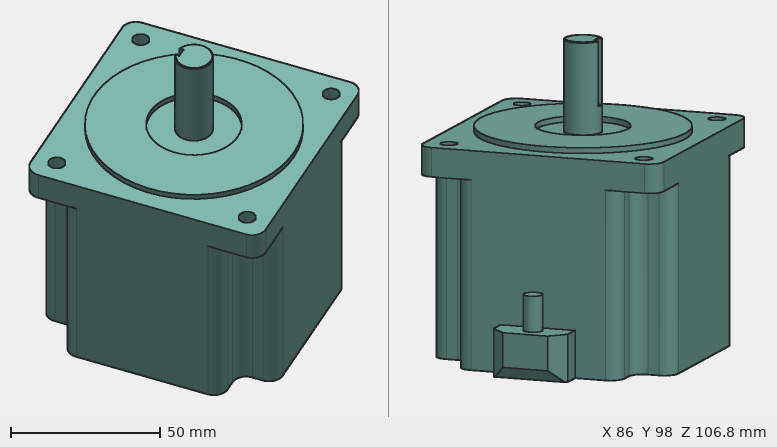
import cadquery as cq

side = 86.0
half = side / 2
body_height = 65.0
flange_thickness = 10.0
flange_top = body_height + flange_thickness
corner_radius = 5.0
hole_spacing = 69.6
hole_diameter = 5.8

lobe_radius = 5.0
flute_side = 14.0
flute_radius = 5.0

pilot_diameter = 73.0
pilot_height = 1.9
recess_diameter = 32.0
total_height = 106.8
shaft_diameter = 12.8
shaft_chamfer = 0.3
keyway_width = 3.4
keyway_depth = 1.8
keyway_bottom = 84.3

block_width = 26.6
block_reach = 12.0
block_height = 16.3
block_corner_chamfer = 5.2
block_bottom_chamfer = 4.5
cable_diameter = 6.5
cable_inset = 7.4
cable_top = 28.6


def make_body():
    """Square column with a fluted, rounded notch along each corner."""
    body = cq.Workplane("XY").rect(side, side).extrude(body_height)
    edge = half - flute_side
    notch = (
        cq.Workplane("XY")
        .moveTo(edge, edge)
        .lineTo(half, edge)
        .lineTo(half, half)
        .lineTo(edge, half)
        .close()
        .extrude(body_height)
        .edges("|Z and <X and <Y")
        .fillet(flute_radius)
    )
    for turn in range(4):
        body = body.cut(notch.rotate((0, 0, 0), (0, 0, 1), 90 * turn))
    lobe_edges = [(sx * half, sy * edge) for sx in (-1, 1) for sy in (-1, 1)]
    lobe_edges += [(y, x) for x, y in lobe_edges]
    for x, y in lobe_edges:
        picker = cq.selectors.NearestToPointSelector((x, y, body_height / 2))
        body = body.edges("|Z").edges(picker).fillet(lobe_radius)
    return body


def make_flange():
    """Mounting flange with four holes and a recessed pilot ring."""
    flange = (
        cq.Workplane("XY", origin=(0, 0, body_height))
        .rect(side, side)
        .extrude(flange_thickness)
        .edges("|Z")
        .fillet(corner_radius)
        .faces(">Z")
        .workplane()
        .rect(hole_spacing, hole_spacing, forConstruction=True)
        .vertices()
        .hole(hole_diameter)
    )
    pilot = (
        cq.Workplane("XY", origin=(0, 0, flange_top))
        .circle(pilot_diameter / 2)
        .circle(recess_diameter / 2)
        .extrude(pilot_height)
    )
    return flange.union(pilot)


def make_shaft():
    """Chamfered output shaft with an open-ended keyway facing -X."""
    shaft = (
        cq.Workplane("XY", origin=(0, 0, flange_top))
        .circle(shaft_diameter / 2)
        .extrude(total_height - flange_top)
        .faces(">Z")
        .chamfer(shaft_chamfer)
    )
    keyway = cq.Workplane("XY").box(
        2 * keyway_depth, keyway_width, total_height - keyway_bottom, centered=(True, True, False)
    )
    return shaft.cut(keyway.translate((-shaft_diameter / 2, 0, keyway_bottom)))


def make_cable_block():
    """Chamfered block with a short cable stub standing on it."""
    block = (
        cq.Workplane("XY", origin=(0, half, 0))
        .box(block_width, block_reach, block_height, centered=(True, False, False))
        .edges("|Z and >Y")
        .chamfer(block_corner_chamfer)
        .faces(">Y")
        .edges("<Z")
        .chamfer(block_bottom_chamfer)
    )
    cable = (
        cq.Workplane("XY", origin=(0, half + block_reach - cable_inset, block_height))
        .circle(cable_diameter / 2)
        .extrude(cable_top - block_height)
    )
    return block.union(cable)


result = make_body().union(make_flange()).union(make_shaft()).union(make_cable_block())